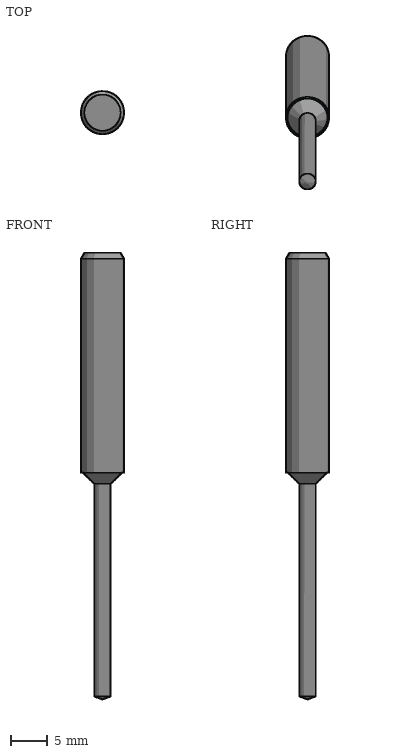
import cadquery as cq

total_length = 62.0

shank_diameter = 6.0
shank_chamfer_height = 0.8
shank_chamfer_width = 0.5
shoulder_height = 31.5
neck_top_diameter = 5.5

cutter_diameter = 2.3
cutter_length = 29.95
tip_height = 0.45

shank_radius = shank_diameter / 2
neck_top_radius = neck_top_diameter / 2
cutter_radius = cutter_diameter / 2


def revolve_profile(points):
    """Turn a closed (radius, height) outline about the Z axis."""
    return cq.Workplane("XZ").polyline(points).close().revolve(360, (0, 0), (0, 1))


def make_shank():
    """Cylinder with a chamfered top rim and a neck tapering down to the cutter."""
    return revolve_profile([
        (0, cutter_length),
        (cutter_radius, cutter_length),
        (neck_top_radius, shoulder_height),
        (shank_radius, shoulder_height),
        (shank_radius, total_length - shank_chamfer_height),
        (shank_radius - shank_chamfer_width, total_length),
        (0, total_length),
    ])


def make_cutter():
    """Slim rod with a shallow conical tip, meeting the neck at its flat top."""
    return revolve_profile([
        (0, 0),
        (cutter_radius, tip_height),
        (cutter_radius, cutter_length),
        (0, cutter_length),
    ])


shank = make_shank()
cutter = make_cutter()

result = cq.Compound.makeCompound([shank.val(), cutter.val()])